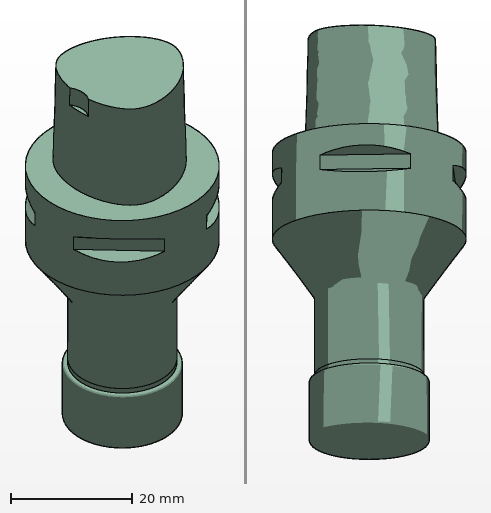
import cadquery as cq
import math

total_height = 69.0
flange_top = 50.0
flange_bottom = 35.05
neck_top = 25.1
nut_top = 11.5
nut_shoulder = 10.6

flange_diameter = 32.0
neck_diameter = 18.1
neck_fillet = 1.5

shank_mean_diameter = 22.0
shank_taper = 1 / 20
lobe_height = 0.7
outline_points = 36

notch_radius = 4.15
notch_height = 3.4
notch_inner_y = -9.05

groove_count = 4
groove_first_angle = 45
groove_center_z = 44.0
groove_floor_distance = 14.15
groove_floor_width = 2.5
groove_flank_angle = 30

nut_diameter = 19.9
nut_edge_fillet = 0.4

flange_radius = flange_diameter / 2
neck_radius = neck_diameter / 2


def lobed_outline(z):
    """Closed curve whose distance to its tangent is mean radius + lobe_height * sin(3 * angle)."""
    mean_radius = (shank_mean_diameter - shank_taper * (z - flange_top)) / 2
    points = []
    for i in range(outline_points):
        angle = 2 * math.pi * i / outline_points
        reach = mean_radius - lobe_height * math.sin(3 * angle)
        slope = -3 * lobe_height * math.cos(3 * angle)
        points.append((
            reach * math.cos(angle) - slope * math.sin(angle),
            reach * math.sin(angle) + slope * math.cos(angle),
        ))
    edge = cq.Edge.makeSpline([cq.Vector(x, y, z) for x, y in points], periodic=True)
    return cq.Wire.assembleEdges([edge])


def make_shank():
    shank = cq.Solid.makeLoft([lobed_outline(flange_top), lobed_outline(total_height)], True)
    notch = (
        cq.Workplane("XY", origin=(0, notch_inner_y - notch_radius, total_height - notch_height))
        .circle(notch_radius)
        .extrude(notch_height)
    )
    return cq.Workplane(obj=shank).cut(notch)


def make_flange_and_neck():
    body = (
        cq.Workplane("XZ")
        .moveTo(0, nut_top)
        .lineTo(neck_radius, nut_top)
        .lineTo(neck_radius, neck_top)
        .lineTo(flange_radius, flange_bottom)
        .lineTo(flange_radius, flange_top)
        .lineTo(0, flange_top)
        .close()
        .revolve(360, (0, 0), (0, 1))
    )
    neck_corner = cq.selectors.BoxSelector(
        (-flange_radius, -flange_radius, neck_top - 0.1),
        (flange_radius, flange_radius, neck_top + 0.1),
    )
    return body.edges("%CIRCLE").edges(neck_corner).fillet(neck_fillet)


def make_groove_cutter(angle):
    """Straight trapezoidal bar that leaves a flat floor and two sloping flanks."""
    depth = flange_radius - groove_floor_distance
    floor_half = groove_floor_width / 2
    mouth_half = floor_half + depth * math.tan(math.radians(groove_flank_angle))
    bar = (
        cq.Workplane("XZ", origin=(groove_floor_distance, 0, groove_center_z))
        .polyline([(0, -floor_half), (depth, -mouth_half), (depth, mouth_half), (0, floor_half)])
        .close()
        .extrude(flange_radius, both=True)
    )
    return bar.rotate((0, 0, 0), (0, 0, 1), angle)


def make_holder():
    holder = make_flange_and_neck()
    for i in range(groove_count):
        holder = holder.cut(make_groove_cutter(groove_first_angle + i * 360 / groove_count))
    return holder.union(make_shank())


def make_nut():
    """Round nut with a short collar, as wide as the neck, that meets the holder."""
    nut = cq.Workplane("XY").circle(nut_diameter / 2).extrude(nut_shoulder)
    nut = nut.edges().fillet(nut_edge_fillet)
    collar = (
        cq.Workplane("XY", origin=(0, 0, nut_shoulder))
        .circle(neck_radius)
        .extrude(nut_top - nut_shoulder)
    )
    return nut.union(collar)


holder = make_holder()
nut = make_nut()

result = cq.Compound.makeCompound([holder.val(), nut.val()])